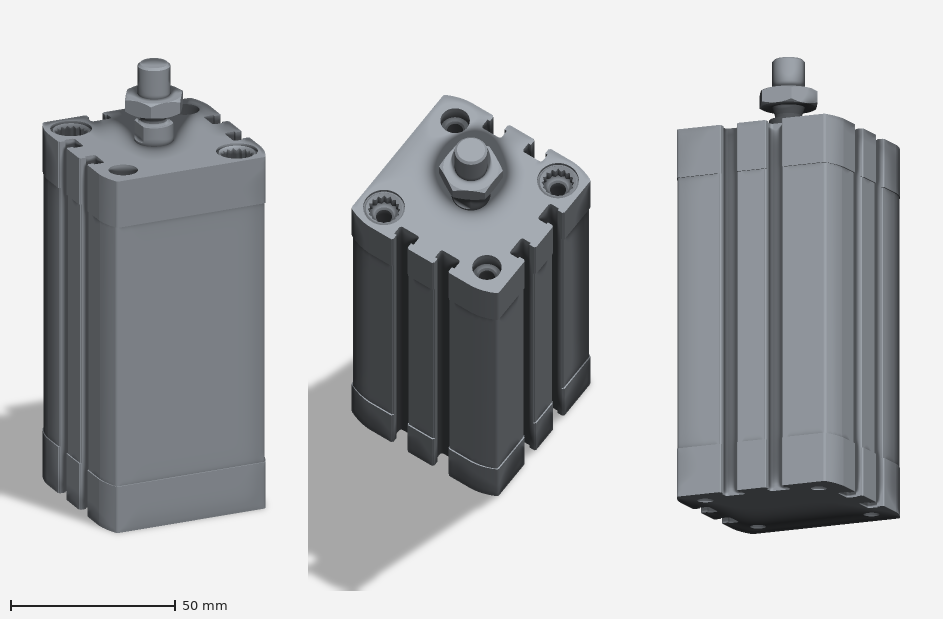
import cadquery as cq
import math

TOTAL_HEIGHT = 140.1
HOUSING_HEIGHT = 115.0
CAP_SIDE = 54.5
CAP_HEIGHT = 15.1
TUBE_INSET = 0.4
CORNER_RADIUS = 40.0 / 2
CORNER_Y = 24.8
CORNER_BLEND = 1.0
HOLE_OFFSET = 19.0

SLOT_OFFSET = 7.5
SLOT_MOUTH_WIDTH = 5.3
SLOT_WIDTH = 7.1
SLOT_LIP = 2.2
SLOT_DEPTH = 5.6
SLOT_FLOOR_ROUND = 0.8
SLOT_MOUTH_ROUND = 0.4
SIDE_SLOT_WIDTH = 6.7

THREAD_CORE_DIAMETER = 4.9
THREAD_MOUTH_DIAMETER = 6.0
COUNTERBORE_DIAMETER = 9.0
COUNTERBORE_DEPTH = 5.0

SOCKET_RIM_DIAMETER = 12.7
SOCKET_RING_DIAMETER = 11.9
SOCKET_CREST_DIAMETER = 11.0
SOCKET_TIP_DIAMETER = 8.7
SOCKET_ROOT_DIAMETER = 10.0
SOCKET_CREST_DEPTH = 0.4
SOCKET_GROOVE_DEPTH = 1.0
SOCKET_TEETH = 16
SOCKET_DEPTH = 4.6

ROD_DIAMETER = 11.9
STUD_DIAMETER = 10.0
NECK_DIAMETER = 8.3
SHOULDER_DIAMETER = 9.7
SHOULDER_HEIGHT = 6.0
NECK_BOTTOM = 6.7
NECK_TOP = 7.5
STUD_CHAMFER = 0.7
FLATS_WIDTH = 10.0
FLATS_BOTTOM = 0.7
FLATS_FILLET = 0.7

NUT_ACROSS_FLATS = 17.0
NUT_THICKNESS = 5.0
NUT_BOTTOM = 10.1
NUT_CHAMFER_ANGLE = 30.0

ROD_LENGTH = TOTAL_HEIGHT - HOUSING_HEIGHT


def profile_block(side, bottom, height):
    """Block with flat X faces and Y faces that run into broad corner arcs."""
    half = side / 2
    return (
        cq.Workplane("XY", origin=(0, 0, bottom))
        .moveTo(-HOLE_OFFSET, -half)
        .lineTo(HOLE_OFFSET, -half)
        .radiusArc((half, -CORNER_Y), -CORNER_RADIUS)
        .lineTo(half, CORNER_Y)
        .radiusArc((HOLE_OFFSET, half), -CORNER_RADIUS)
        .lineTo(-HOLE_OFFSET, half)
        .radiusArc((-half, CORNER_Y), -CORNER_RADIUS)
        .lineTo(-half, -CORNER_Y)
        .radiusArc((-HOLE_OFFSET, -half), -CORNER_RADIUS)
        .close()
        .extrude(height)
        .edges("|Z and (<X or >X)")
        .fillet(CORNER_BLEND)
    )


def slot_cutter(chamber_width, side):
    """T-slot cutter with rounded mouth and floor corners, opening through the -Y face of a block."""
    half_mouth = SLOT_MOUTH_WIDTH / 2
    half_chamber = chamber_width / 2
    face = -side / 2
    lip = SLOT_LIP - CAP_SIDE / 2
    floor = SLOT_DEPTH - CAP_SIDE / 2
    return (
        cq.Workplane("XY")
        .moveTo(-half_mouth - SLOT_MOUTH_ROUND, face)
        .lineTo(half_mouth + SLOT_MOUTH_ROUND, face)
        .radiusArc((half_mouth, face + SLOT_MOUTH_ROUND), -SLOT_MOUTH_ROUND)
        .lineTo(half_mouth, lip)
        .lineTo(half_chamber, lip)
        .lineTo(half_chamber, floor - SLOT_FLOOR_ROUND)
        .radiusArc((half_chamber - SLOT_FLOOR_ROUND, floor), -SLOT_FLOOR_ROUND)
        .lineTo(SLOT_FLOOR_ROUND - half_chamber, floor)
        .radiusArc((-half_chamber, floor - SLOT_FLOOR_ROUND), -SLOT_FLOOR_ROUND)
        .lineTo(-half_chamber, lip)
        .lineTo(-half_mouth, lip)
        .lineTo(-half_mouth, face + SLOT_MOUTH_ROUND)
        .radiusArc((-half_mouth - SLOT_MOUTH_ROUND, face), -SLOT_MOUTH_ROUND)
        .close()
        .extrude(HOUSING_HEIGHT)
    )


def slotted_block(side, bottom, height):
    """Profile block with two T-slots in each Y face and in the -X face."""
    block = profile_block(side, bottom, height)
    for offset in (-SLOT_OFFSET, SLOT_OFFSET):
        slot = slot_cutter(SLOT_WIDTH, side).translate((offset, 0, 0))
        side_slot = slot_cutter(SIDE_SLOT_WIDTH, side).translate((offset, 0, 0))
        block = block.cut(slot)
        block = block.cut(slot.rotate((0, 0, 0), (0, 0, 1), 180))
        block = block.cut(side_slot.rotate((0, 0, 0), (0, 0, 1), -90))
    return block


def threaded_hole(floor):
    """Through hole whose countersunk mouth opens at height `floor`."""
    core = THREAD_CORE_DIAMETER / 2
    mouth = THREAD_MOUTH_DIAMETER / 2
    return (
        cq.Workplane("XZ")
        .polyline([(0, 0), (core, 0), (core, floor - (mouth - core)), (mouth, floor), (0, floor)])
        .close()
        .revolve(360, (0, 0), (0, 1))
    )


def plain_hole():
    """Threaded hole under a plain counterbore."""
    floor = HOUSING_HEIGHT - COUNTERBORE_DEPTH
    counterbore = (
        cq.Workplane("XY", origin=(0, 0, floor))
        .circle(COUNTERBORE_DIAMETER / 2)
        .extrude(COUNTERBORE_DEPTH)
    )
    return threaded_hole(floor).union(counterbore)


def serrated_hole():
    """Threaded hole under a toothed socket whose mouth has a raised ring crest."""
    rim = SOCKET_RIM_DIAMETER / 2
    ring = SOCKET_RING_DIAMETER / 2
    crest = SOCKET_CREST_DIAMETER / 2
    tooth_tip = SOCKET_TIP_DIAMETER / 2
    tooth_root = SOCKET_ROOT_DIAMETER / 2
    groove_z = HOUSING_HEIGHT - SOCKET_GROOVE_DEPTH
    crest_z = HOUSING_HEIGHT - SOCKET_CREST_DEPTH
    floor = HOUSING_HEIGHT - SOCKET_DEPTH
    mouth = (
        cq.Workplane("XZ")
        .polyline([
            (0, HOUSING_HEIGHT),
            (rim, HOUSING_HEIGHT),
            (rim, groove_z),
            (ring, groove_z),
            (crest, crest_z),
            (tooth_tip, crest_z - (crest - tooth_tip)),
            (tooth_tip, floor),
            (0, floor),
        ])
        .close()
        .revolve(360, (0, 0), (0, 1))
    )
    star = []
    for i in range(2 * SOCKET_TEETH):
        radius = tooth_root if i % 2 else tooth_tip
        angle = math.pi * i / SOCKET_TEETH
        star.append((radius * math.cos(angle), radius * math.sin(angle)))
    teeth = (
        cq.Workplane("XY", origin=(0, 0, floor))
        .polyline(star)
        .close()
        .extrude(crest_z - floor)
    )
    return threaded_hole(floor).union(mouth).union(teeth)


def make_housing():
    """Grooved tube between two end caps, with four corner holes."""
    upper_cap_bottom = HOUSING_HEIGHT - CAP_HEIGHT
    tube_side = CAP_SIDE - 2 * TUBE_INSET
    tube_length = upper_cap_bottom - CAP_HEIGHT
    housing = (
        slotted_block(CAP_SIDE, 0, CAP_HEIGHT)
        .union(slotted_block(tube_side, CAP_HEIGHT, tube_length))
        .union(slotted_block(CAP_SIDE, upper_cap_bottom, CAP_HEIGHT))
    )
    for x in (-HOLE_OFFSET, HOLE_OFFSET):
        housing = housing.cut(plain_hole().translate((x, -x, 0)))
        housing = housing.cut(serrated_hole().translate((x, x, 0)))
    return housing


def make_rod():
    """Piston rod end: flatted shank, undercut neck and stud, standing on the housing."""
    stud = STUD_DIAMETER / 2
    neck = NECK_DIAMETER / 2
    rod = (
        cq.Workplane("XZ", origin=(0, 0, HOUSING_HEIGHT))
        .polyline([
            (0, 0),
            (ROD_DIAMETER / 2, 0),
            (ROD_DIAMETER / 2, SHOULDER_HEIGHT),
            (SHOULDER_DIAMETER / 2, SHOULDER_HEIGHT),
            (neck, NECK_BOTTOM),
            (neck, NECK_TOP),
            (stud, NUT_BOTTOM),
            (stud, ROD_LENGTH - STUD_CHAMFER),
            (stud - STUD_CHAMFER, ROD_LENGTH),
            (0, ROD_LENGTH),
        ])
        .close()
        .revolve(360, (0, 0), (0, 1))
    )
    cutter_y = (FLATS_WIDTH + ROD_DIAMETER) / 2
    flat_cutter = (
        cq.Workplane("XY", origin=(0, cutter_y, HOUSING_HEIGHT + FLATS_BOTTOM))
        .box(ROD_DIAMETER, ROD_DIAMETER, SHOULDER_HEIGHT - FLATS_BOTTOM, centered=(True, True, False))
        .faces("<Y")
        .edges("<Z")
        .fillet(FLATS_FILLET)
    )
    return rod.cut(flat_cutter).cut(flat_cutter.mirror("XZ"))


def make_nut():
    """Hex nut with flats facing X and corners chamfered on both faces."""
    corner_diameter = NUT_ACROSS_FLATS / math.cos(math.pi / 6)
    inner = NUT_ACROSS_FLATS / 2
    outer = corner_diameter / 2
    drop = (outer - inner) * math.tan(math.radians(NUT_CHAMFER_ANGLE))
    hexagon = (
        cq.Workplane("XY")
        .polygon(6, corner_diameter)
        .extrude(NUT_THICKNESS)
        .rotate((0, 0, 0), (0, 0, 1), 30)
    )
    chamfer_envelope = (
        cq.Workplane("XZ")
        .polyline([
            (0, 0),
            (inner, 0),
            (outer, drop),
            (outer, NUT_THICKNESS - drop),
            (inner, NUT_THICKNESS),
            (0, NUT_THICKNESS),
        ])
        .close()
        .revolve(360, (0, 0), (0, 1))
    )
    bore = cq.Workplane("XY").circle(STUD_DIAMETER / 2).extrude(NUT_THICKNESS)
    nut = hexagon.intersect(chamfer_envelope).cut(bore)
    return nut.translate((0, 0, HOUSING_HEIGHT + NUT_BOTTOM))


housing = make_housing()
rod = make_rod()
nut = make_nut()

result = cq.Compound.makeCompound([housing.val(), rod.val(), nut.val()])